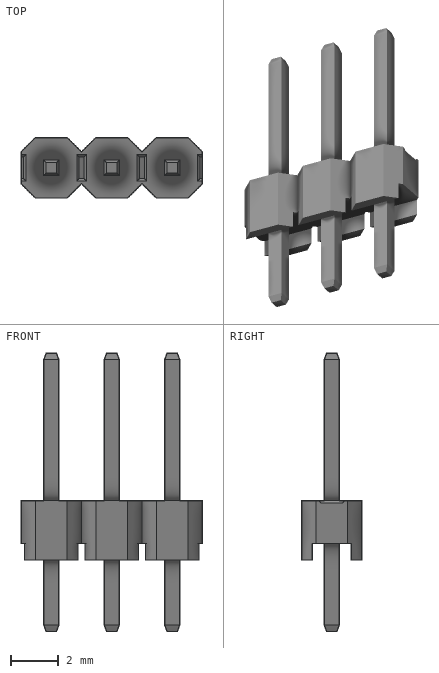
import cadquery as cq

PIN_COUNT = 3
PITCH = 2.54

BODY_HEIGHT = 2.5
CORNER_CHAMFER = 0.6

CHANNEL_WIDTH = 1.62
CHANNEL_DEPTH = 0.7

RECESS_LENGTH = 1.1
RECESS_WIDTH = 0.4
RECESS_DEPTH = 0.1
RECESS_INSET = 0.1

PIN_WIDTH = 0.64
PIN_ABOVE_BODY = 6.2
PIN_BELOW_BODY = 3.0
TIP_HEIGHT = 0.275
TIP_WIDTH = 0.44

BODY_LENGTH = PIN_COUNT * PITCH
FIRST_PIN_X = -(PIN_COUNT - 1) * PITCH / 2


def make_cell(x):
    """Octagonal body cell surrounding one pin."""
    cell = cq.Workplane("XY").box(PITCH, PITCH, BODY_HEIGHT, centered=(True, True, False))
    return cell.edges("|Z").chamfer(CORNER_CHAMFER).translate((x, 0, 0))


def make_channel():
    """Cutter for the channel running the full length of the underside."""
    return cq.Workplane("XY").box(
        BODY_LENGTH, CHANNEL_WIDTH, CHANNEL_DEPTH, centered=(True, True, False)
    )


def make_recess(x):
    """Cutter for one recess that narrows towards its floor."""
    floor_width = RECESS_WIDTH - 2 * RECESS_INSET
    floor_length = RECESS_LENGTH - 2 * RECESS_INSET
    return (
        cq.Workplane("XY", origin=(x, 0, BODY_HEIGHT - RECESS_DEPTH))
        .rect(floor_width, floor_length)
        .workplane(offset=RECESS_DEPTH)
        .rect(RECESS_WIDTH, RECESS_LENGTH)
        .loft(ruled=True)
    )


def make_tip(x, base_z, height):
    """Tapered pin tip; a negative height points it downwards."""
    return (
        cq.Workplane("XY", origin=(x, 0, base_z))
        .rect(PIN_WIDTH, PIN_WIDTH)
        .workplane(offset=height)
        .rect(TIP_WIDTH, TIP_WIDTH)
        .loft(ruled=True)
    )


def make_pin(x):
    """Square pin with a tapered tip at each end."""
    shaft_bottom = TIP_HEIGHT - PIN_BELOW_BODY
    shaft_top = BODY_HEIGHT + PIN_ABOVE_BODY - TIP_HEIGHT
    shaft = (
        cq.Workplane("XY", origin=(x, 0, shaft_bottom))
        .rect(PIN_WIDTH, PIN_WIDTH)
        .extrude(shaft_top - shaft_bottom)
    )
    upper_tip = make_tip(x, shaft_top, TIP_HEIGHT)
    lower_tip = make_tip(x, shaft_bottom, -TIP_HEIGHT)
    return shaft.union(upper_tip).union(lower_tip)


pin_positions = [FIRST_PIN_X + i * PITCH for i in range(PIN_COUNT)]
boundary_positions = [-BODY_LENGTH / 2 + i * PITCH for i in range(PIN_COUNT + 1)]

body = make_cell(pin_positions[0])
for pin_x in pin_positions[1:]:
    body = body.union(make_cell(pin_x))
body = body.cut(make_channel())
for boundary_x in boundary_positions:
    body = body.cut(make_recess(boundary_x))

result = body
for pin_x in pin_positions:
    result = result.union(make_pin(pin_x))